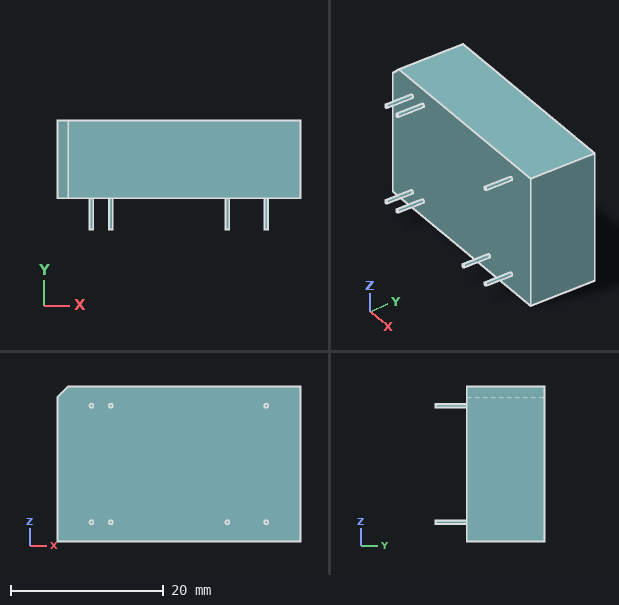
import cadquery as cq

case_length = 31.8
case_depth = 10.2
case_height = 20.3
corner_chamfer = 1.4

pin_diameter = 0.5
pin_length = 4.1
pitches_between_rows = 6
row_spacing = 15.23
pin_pitch = row_spacing / pitches_between_rows
first_pin_x = 4.45
bottom_row_z = (case_height - row_spacing) / 2
top_row_z = bottom_row_z + row_spacing

bottom_row_steps = [0, 1, 7, 9]
top_row_steps = [0, 1, 9]


def make_case():
    """Block with its upper left edge cut off, front face at Y = 0."""
    block = cq.Workplane("XY").box(case_length, case_depth, case_height, centered=False)
    return block.edges("<X and >Z").chamfer(corner_chamfer)


def make_pin_row(steps, row_z):
    """Row of round pins standing out of the front face."""
    places = [(first_pin_x + step * pin_pitch, row_z) for step in steps]
    return cq.Workplane("XZ").pushPoints(places).circle(pin_diameter / 2).extrude(pin_length)


bottom_pins = make_pin_row(bottom_row_steps, bottom_row_z)
top_pins = make_pin_row(top_row_steps, top_row_z)
result = make_case().union(bottom_pins).union(top_pins)